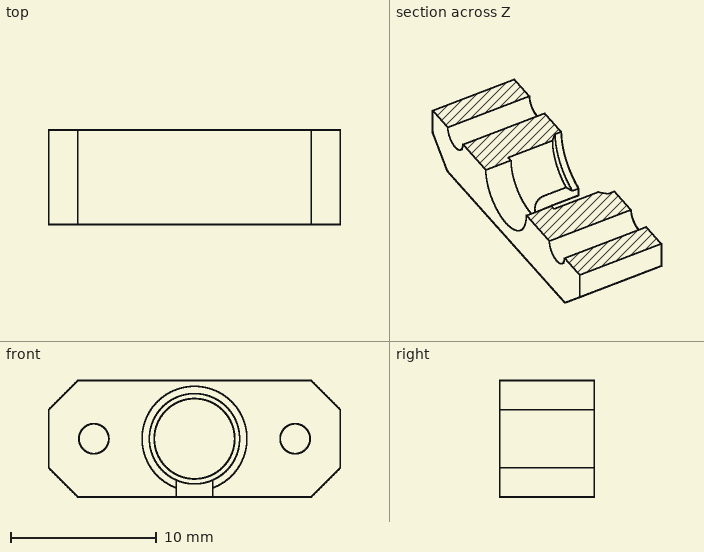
import cadquery as cq

length = 20
depth = 6.5
height = 8
corner_cut = 2

mount_hole_diameter = 2.05
mount_hole_spacing = 13.8

entry_diameter = 7.2
entry_depth = 0.5
bore_diameter = 6.2
taper_end = entry_depth + (entry_diameter - bore_diameter) / 2
through_diameter = 5.5
shoulder_depth = 4.5

slot_width = 2.5
slot_centre_depth = 2.75


def make_block():
    block = cq.Workplane("XY").box(length, depth, height, centered=(True, False, True))
    return block.edges("|Y").chamfer(corner_cut)


def make_mount_holes():
    holes = cq.Workplane("XZ").pushPoints([(-mount_hole_spacing / 2, 0), (mount_hole_spacing / 2, 0)])
    return holes.circle(mount_hole_diameter / 2).extrude(-depth)


def make_seat():
    profile = (
        cq.Workplane("XY")
        .lineTo(entry_diameter / 2, 0)
        .lineTo(entry_diameter / 2, entry_depth)
        .lineTo(bore_diameter / 2, taper_end)
        .lineTo(bore_diameter / 2, shoulder_depth)
        .lineTo(through_diameter / 2, shoulder_depth)
        .lineTo(through_diameter / 2, depth)
        .lineTo(0, depth)
        .close()
    )
    return profile.revolve(360, (0, 0, 0), (0, 1, 0))


def make_slot():
    floor = cq.Workplane("XY").workplane(offset=-height / 2)
    return (
        floor.moveTo(-slot_width / 2, 0)
        .lineTo(slot_width / 2, 0)
        .lineTo(slot_width / 2, slot_centre_depth)
        .threePointArc((0, slot_centre_depth + slot_width / 2), (-slot_width / 2, slot_centre_depth))
        .close()
        .extrude(height / 2)
    )


result = make_block().cut(make_mount_holes()).cut(make_seat()).cut(make_slot())